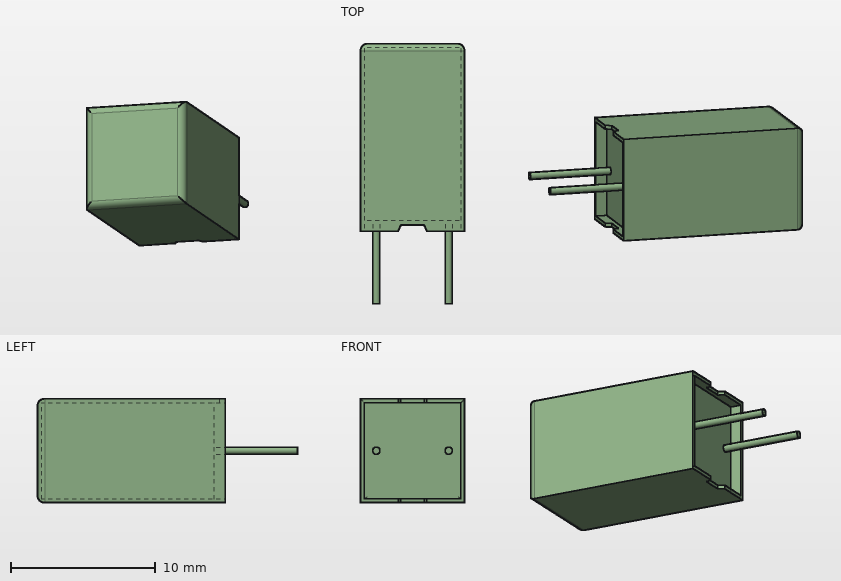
import cadquery as cq

overall_length = 18.0
lead_protrusion = 5.0
case_length = overall_length - lead_protrusion
case_size = 7.2
wall = 0.27
back_edge_radius = 0.5

recess_depth = 0.8
notch_depth = 0.43
notch_mouth_width = 2.0
notch_floor_width = 1.6

lead_diameter = 0.5
lead_pitch = 5.0

cavity_size = case_size - 2 * wall
cavity_depth = case_length - wall


def box_along_y(size, start, end):
    """Square bar centred on the Y axis, between two Y positions."""
    length = end - start
    return cq.Workplane("XY").box(size, length, size).translate((0, start + length / 2, 0))


def make_notch_cutter():
    """Tapered notch through the rims of both the upper and lower walls."""
    return (
        cq.Workplane("XY")
        .polyline([
            (-notch_mouth_width / 2, 0),
            (-notch_floor_width / 2, notch_depth),
            (notch_floor_width / 2, notch_depth),
            (notch_mouth_width / 2, 0),
        ])
        .close()
        .extrude(case_size, both=True)
    )


def make_case():
    """Thin-walled box, closed and rounded at the back, open at the lead end."""
    block = box_along_y(case_size, 0, case_length).faces(">Y").edges().fillet(back_edge_radius)
    cavity = box_along_y(cavity_size, 0, cavity_depth)
    return block.cut(cavity).cut(make_notch_cutter())


def make_filling():
    """Potting block that fills the case up to the recess behind the rim."""
    return box_along_y(cavity_size, recess_depth, cavity_depth)


def make_lead(x):
    """Round wire standing on the filling and pointing toward -Y."""
    return (
        cq.Workplane("XZ", origin=(x, recess_depth, 0))
        .circle(lead_diameter / 2)
        .extrude(recess_depth + lead_protrusion)
    )


case = make_case()
filling = make_filling()
leads = [make_lead(side * lead_pitch / 2) for side in (-1, 1)]

result = cq.Compound.makeCompound([case.val(), filling.val(), *[lead.val() for lead in leads]])